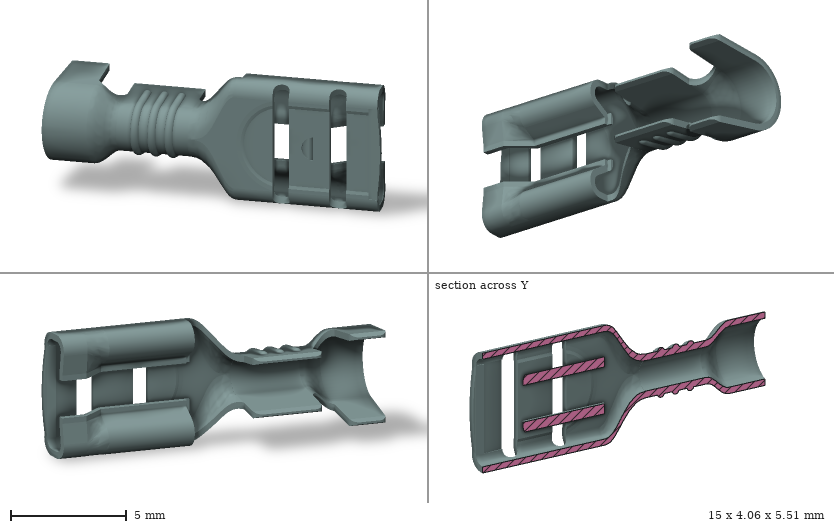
import cadquery as cq
import math


SHEET = 0.30
WING_LEAN = 7.5
END_LEAN = 5.0

INSULATION_END_X = 2.0
WIRE_START_X = 3.17
WIRE_END_X = 6.37
BOX_START_X = 8.44
CURL_START_X = 8.64
OVERALL_LENGTH = 14.99

INSULATION_RADIUS = 1.775
INSULATION_BASE_Y = -0.54
INSULATION_TOP_Y = 3.52

WIRE_RADIUS = 1.08
WIRE_TOP_Y = 3.27
WING_CORNER = 0.40
TIP_LENGTH = 0.29
TIP_OUTER_BEVEL = 0.15
TIP_INNER_BEVEL = 0.06

BEAD_FIRST_X = 3.99
BEAD_PITCH = 0.767
BEAD_COUNT = 3
BEAD_RADIUS = 0.195
BEAD_HEIGHT = 0.13
BEAD_TOP_Y = 2.31

BOX_HALF_WIDTH = 2.755
BOX_CORNER = 0.70
FLOOR_HALF_WIDTH = BOX_HALF_WIDTH - BOX_CORNER
BOX_SIDE_Y = 0.74
CURL_CENTRE_Y = 1.22
CURL_RADIUS = 0.68
CURL_TILT = 60.0
MOUTH_TILT = 8.0
MOUTH_BLEND_X = 12.60
MOUTH_X = 13.60
LIP_BEND_RADIUS = 0.38
LIP_FLAT = 0.24
LIP_HALF_GAP = 0.83
BOX_END_X = 14.87
TONGUE_CORNER_X = 14.84

SLOTS = ((10.54, 0.73), (13.09, 0.76))
SLOT_FLOOR_TOP = 0.39
SLOT_FLOOR_HALF = 2.20
SLOT_WRAP = 65.0
SLOT_END_REACH = 1.0
PANEL_CENTRE_X = 10.63
PANEL_END_X = 14.47
PANEL_RIM = 1.88
PANEL_INNER = 1.74
PANEL_BLEND = 2.07
PANEL_DEPTH = 0.05
PANEL_BLEND_DEPTH = 0.012
MOUTH_FLOOR_Y = 0.20
MARK_FLAT_X = 11.99
MARK_RAMP_X = 11.83
MARK_RADIUS = 0.52
MARK_DEPTH = 0.08
MARK_STEP = 0.16

NECK_STEPS = 6
KEEL = 0.02
REAR_NECK_EDGE = ((INSULATION_END_X, 1.47), (2.29, 1.27), (WIRE_START_X, 1.87))
FRONT_NECK_EDGE = ((WIRE_END_X, 1.92), (6.87, 1.50), (7.42, 1.20), (8.0, 0.80), (BOX_START_X, BOX_SIDE_Y))

BIG = 10.0


def mix(start, end, share):
    return start + (end - start) * share


def polar(centre, radius, degrees):
    angle = math.radians(degrees)
    return (centre[0] + radius * math.cos(angle), centre[1] + radius * math.sin(angle))


def section_plane(x):
    """Plane across the terminal with local coordinates (-Z, Y)."""
    return cq.Workplane(cq.Plane(origin=(x, 0, 0), xDir=(0, 0, -1), normal=(1, 0, 0)))


def side_plane():
    """XY plane, for tools that run the full width of the terminal."""
    return cq.Workplane("XY")


def mirrored(point):
    return (-point[0], point[1])


def trough_side(radius, base_y, flat, lean, top_y):
    """Right half of one trough surface: flat end, arc middle, tangent point, wing top."""
    centre = (flat, base_y + radius)
    tangent = polar(centre, radius, -lean)
    middle = polar(centre, radius, -(90 + lean) / 2)
    top = (tangent[0] + (top_y - tangent[1]) * math.tan(math.radians(lean)), top_y)
    return (flat, base_y), middle, tangent, top


def trough(x, radius, base_y, top_y, lean, flat=0.0, tapered=False):
    """Closed U-shaped sheet section at x, with optional tapered wing tips."""
    shoulder_y = top_y - TIP_LENGTH if tapered else top_y
    outer = trough_side(radius, base_y, flat, lean, shoulder_y)
    inner = trough_side(radius - SHEET, base_y + SHEET, flat, lean, shoulder_y)
    tips = []
    if tapered:
        shift = TIP_LENGTH * math.tan(math.radians(lean))
        tips = [
            (outer[3][0] + shift - TIP_OUTER_BEVEL, top_y),
            (inner[3][0] + shift + TIP_INNER_BEVEL, top_y),
        ]
    sketch = section_plane(x).moveTo(*mirrored(outer[3])).lineTo(*mirrored(outer[2]))
    if flat > 0:
        sketch = sketch.threePointArc(mirrored(outer[1]), mirrored(outer[0])).lineTo(*outer[0])
        sketch = sketch.threePointArc(outer[1], outer[2])
    else:
        sketch = sketch.threePointArc(outer[0], outer[2])
    sketch = sketch.lineTo(*outer[3])
    for tip in tips:
        sketch = sketch.lineTo(*tip)
    sketch = sketch.lineTo(*inner[3]).lineTo(*inner[2])
    if flat > 0:
        sketch = sketch.threePointArc(inner[1], inner[0]).lineTo(*mirrored(inner[0]))
        sketch = sketch.threePointArc(mirrored(inner[1]), mirrored(inner[2]))
    else:
        sketch = sketch.threePointArc(inner[0], mirrored(inner[2]))
    sketch = sketch.lineTo(*mirrored(inner[3]))
    for tip in reversed(tips):
        sketch = sketch.lineTo(*mirrored(tip))
    return sketch.close()


def side_prism(points):
    return side_plane().polyline(points).close().extrude(BIG, both=True)


def insulation_barrel():
    barrel = trough(
        0, INSULATION_RADIUS, INSULATION_BASE_Y, INSULATION_TOP_Y, WING_LEAN, tapered=True
    ).extrude(INSULATION_END_X)
    rise = INSULATION_TOP_Y - INSULATION_BASE_Y
    outline = side_prism([
        (0, INSULATION_BASE_Y),
        (INSULATION_END_X, INSULATION_BASE_Y),
        (INSULATION_END_X, INSULATION_TOP_Y),
        (rise * math.tan(math.radians(END_LEAN)), INSULATION_TOP_Y),
    ])
    top_corners = outline.faces(">Y").edges("|Z")
    return barrel.intersect(top_corners.fillet(WING_CORNER))


def wire_barrel():
    length = WIRE_END_X - WIRE_START_X
    barrel = trough(WIRE_START_X, WIRE_RADIUS, 0, WIRE_TOP_Y, WING_LEAN, tapered=True).extrude(length)
    outline = side_prism([
        (WIRE_START_X, 0),
        (WIRE_END_X, 0),
        (WIRE_END_X, WIRE_TOP_Y),
        (WIRE_START_X, WIRE_TOP_Y),
    ])
    top_corners = outline.faces(">Y").edges("|Z")
    return barrel.intersect(top_corners.fillet(WING_CORNER))


def bead(x):
    """Round bead following the outside of the wire barrel, with domed ends."""
    sink = BEAD_RADIUS - BEAD_HEIGHT
    bottom, _, tangent, top = trough_side(WIRE_RADIUS - sink, sink, 0, WING_LEAN, BEAD_TOP_Y - BEAD_RADIUS)
    path = (
        section_plane(x)
        .moveTo(*mirrored(top))
        .lineTo(*mirrored(tangent))
        .threePointArc(bottom, tangent)
        .lineTo(*top)
    )
    lean = math.radians(WING_LEAN)
    start = cq.Plane(
        origin=(x, top[1], top[0]), xDir=(1, 0, 0), normal=(0, -math.cos(lean), -math.sin(lean))
    )
    rod = cq.Workplane(start).circle(BEAD_RADIUS).sweep(path)
    for side in (-1, 1):
        rod = rod.union(cq.Workplane("XY").sphere(BEAD_RADIUS).translate((x, top[1], side * top[0])))
    return rod


def neck(start_x, end_x, start, end, edge):
    """Smooth S-shaped transition between two troughs given as (half-width, base, lean, flat).

    The flat widens later than the whole trough, which keeps the middle well rounded.
    """
    top_y = max(point[1] for point in edge)
    wires = []
    for step in range(NECK_STEPS + 1):
        share = step / NECK_STEPS
        blend = (1 - math.cos(math.pi * share)) / 2
        half_width, base_y, lean = (mix(a, b, blend) for a, b in zip(start[:3], end[:3]))
        flat = mix(start[3], end[3], blend * blend)
        x = mix(start_x, end_x, share)
        wires.append(trough(x, half_width - flat, base_y, top_y, lean, flat).wires().val())
    body = cq.Workplane(cq.Solid.makeLoft(wires))
    above = (
        side_plane()
        .moveTo(*edge[0])
        .spline(edge[1:], includeCurrent=True)
        .lineTo(end_x + BIG, edge[-1][1])
        .lineTo(end_x + BIG, BIG)
        .lineTo(start_x - BIG, BIG)
        .lineTo(start_x - BIG, edge[0][1])
        .close()
        .extrude(BIG, both=True)
    )
    return body.cut(above)


def box_section(x, tilt):
    """Half section of the box at x: floor, rounded corner, wall, and curl with its lip."""
    corner = (FLOOR_HALF_WIDTH, BOX_CORNER)
    curl = (BOX_HALF_WIDTH - CURL_RADIUS, CURL_CENTRE_Y)
    inner_corner = BOX_CORNER - SHEET
    inner_curl = CURL_RADIUS - SHEET
    inner_bend = LIP_BEND_RADIUS - SHEET
    curl_end = 90 + tilt
    curl_middle = curl_end / 2
    slope = math.radians(tilt)
    slope_span = curl[0] - LIP_HALF_GAP - LIP_FLAT - (inner_curl + LIP_BEND_RADIUS) * math.sin(slope)
    slope_end = polar(polar(curl, inner_curl, curl_end), slope_span / math.cos(slope), curl_end + 90)
    bend = polar(slope_end, LIP_BEND_RADIUS, curl_end)
    bend_start = curl_end - 180
    bend_middle = (bend_start - 90) / 2
    lip_y = bend[1] - LIP_BEND_RADIUS
    return (
        section_plane(x)
        .moveTo(0, 0)
        .lineTo(FLOOR_HALF_WIDTH, 0)
        .threePointArc(polar(corner, BOX_CORNER, -45), (BOX_HALF_WIDTH, BOX_CORNER))
        .lineTo(BOX_HALF_WIDTH, CURL_CENTRE_Y)
        .threePointArc(polar(curl, CURL_RADIUS, curl_middle), polar(curl, CURL_RADIUS, curl_end))
        .lineTo(*polar(bend, inner_bend, bend_start))
        .threePointArc(polar(bend, inner_bend, bend_middle), polar(bend, inner_bend, -90))
        .lineTo(LIP_HALF_GAP, lip_y + SHEET)
        .lineTo(LIP_HALF_GAP, lip_y)
        .lineTo(bend[0], lip_y)
        .threePointArc(polar(bend, LIP_BEND_RADIUS, bend_middle), slope_end)
        .lineTo(*polar(curl, inner_curl, curl_end))
        .threePointArc(polar(curl, inner_curl, curl_middle), polar(curl, inner_curl, 0))
        .lineTo(BOX_HALF_WIDTH - SHEET, BOX_CORNER)
        .threePointArc(polar(corner, inner_corner, -45), polar(corner, inner_corner, -90))
        .lineTo(0, SHEET)
        .close()
    )


def box_half():
    """One half of the box; its lip grips along most of the length and opens out at the mouth."""
    gripping = box_section(BOX_START_X, CURL_TILT).extrude(MOUTH_BLEND_X - BOX_START_X)
    blend_wires = [
        box_section(MOUTH_BLEND_X, CURL_TILT).wires().val(),
        box_section(MOUTH_X, MOUTH_TILT).wires().val(),
    ]
    blend = cq.Workplane(cq.Solid.makeLoft(blend_wires, True))
    mouth = box_section(MOUTH_X, MOUTH_TILT).extrude(OVERALL_LENGTH - MOUTH_X)
    return gripping.union(blend).union(mouth)


def floor_tongue():
    """Floor strip whose mating end bulges out in a shallow arc."""
    back_x = PANEL_END_X - PANEL_RIM
    return (
        cq.Workplane("XZ")
        .moveTo(back_x, -FLOOR_HALF_WIDTH)
        .lineTo(TONGUE_CORNER_X, -FLOOR_HALF_WIDTH)
        .threePointArc((OVERALL_LENGTH, 0), (TONGUE_CORNER_X, FLOOR_HALF_WIDTH))
        .lineTo(back_x, FLOOR_HALF_WIDTH)
        .close()
        .extrude(-SHEET)
    )


def panel_form(level):
    """Shallow embossed panel at height level: round rear end, straight sides, ramp to the tip."""
    deep = level + PANEL_DEPTH
    round_end = (
        side_plane()
        .polyline([
            (0, level),
            (PANEL_BLEND, level),
            (PANEL_RIM, level + PANEL_BLEND_DEPTH),
            (PANEL_INNER, deep),
            (0, deep),
        ])
        .close()
        .revolve(360, (0, 0, 0), (0, 1, 0))
        .translate((PANEL_CENTRE_X, 0, 0))
    )
    ahead = cq.Workplane("XY").box(BIG, BIG, BIG).translate((PANEL_CENTRE_X + BIG / 2, 0, 0))
    straight = (
        section_plane(PANEL_CENTRE_X)
        .polyline([(-PANEL_RIM, level), (PANEL_RIM, level), (PANEL_INNER, deep), (-PANEL_INNER, deep)])
        .close()
        .extrude(PANEL_END_X - PANEL_CENTRE_X)
    )
    ramp = (
        side_plane()
        .polyline([(PANEL_END_X, level), (OVERALL_LENGTH, level), (PANEL_END_X, deep)])
        .close()
        .extrude(FLOOR_HALF_WIDTH, both=True)
    )
    return round_end.cut(ahead).union(straight).union(ramp)


def mouth_thinning():
    """Wedge that thins the inside of the floor between the front slot and the panel's end."""
    slot_x = SLOTS[-1][0]
    return (
        side_plane()
        .polyline([
            (slot_x, MOUTH_FLOOR_Y),
            (PANEL_END_X, SHEET),
            (PANEL_END_X, SHEET + PANEL_DEPTH),
            (slot_x, SHEET + PANEL_DEPTH),
        ])
        .close()
        .extrude(FLOOR_HALF_WIDTH, both=True)
    )


def slot_end(centre_x, width):
    """Round-ended tool pointing out through the corner on the +Z side."""
    wrap = math.radians(SLOT_WRAP)
    outwards = (0, -math.cos(wrap), math.sin(wrap))
    plane = cq.Plane(
        origin=(centre_x, BOX_CORNER, FLOOR_HALF_WIDTH), xDir=(1, 0, 0), normal=outwards
    )
    half = width / 2
    return (
        cq.Workplane(plane)
        .moveTo(-half, -half)
        .threePointArc((0, 0), (half, -half))
        .lineTo(half, -SLOT_END_REACH)
        .lineTo(-half, -SLOT_END_REACH)
        .close()
        .extrude(SLOT_END_REACH)
    )


def slot(centre_x, width):
    """Cross slot through the floor with rounded ends climbing both corners."""
    floor_part = (
        cq.Workplane("XY")
        .box(width, 2 * SLOT_FLOOR_TOP, 2 * SLOT_FLOOR_HALF)
        .translate((centre_x, 0, 0))
    )
    end_part = slot_end(centre_x, width)
    return floor_part.union(end_part).union(end_part.mirror("XY"))


def locking_mark():
    """D-shaped recess whose floor rises from the round side, then drops to the flat side."""
    disc = (
        cq.Workplane("XZ")
        .center(MARK_FLAT_X, 0)
        .circle(MARK_RADIUS)
        .extrude(-SHEET)
    )
    ramp = side_prism([
        (MARK_FLAT_X - MARK_RADIUS, 0),
        (MARK_FLAT_X, 0),
        (MARK_FLAT_X, PANEL_DEPTH + MARK_STEP),
        (MARK_RAMP_X, PANEL_DEPTH),
        (MARK_FLAT_X - MARK_RADIUS, PANEL_DEPTH + MARK_DEPTH),
    ])
    return disc.intersect(ramp)


def receptacle():
    half = box_half()
    box = half.union(half.mirror("XY"))
    box = box.cut(side_prism([
        (BOX_START_X, BOX_SIDE_Y),
        (CURL_START_X, BOX_SIDE_Y),
        (CURL_START_X, BIG),
        (BOX_START_X, BIG),
    ]))
    box = box.cut(side_prism([
        (BOX_END_X, 0),
        (BOX_END_X + BIG, 0),
        (BOX_END_X + BIG, BIG),
        (BOX_END_X - BIG * math.tan(math.radians(END_LEAN)), BIG),
    ]))
    box = box.union(floor_tongue())
    box = box.union(panel_form(SHEET).intersect(side_prism([
        (BOX_START_X, 0),
        (BOX_END_X, 0),
        (BOX_END_X, BIG),
        (BOX_START_X, BIG),
    ])))
    box = box.cut(panel_form(0)).cut(locking_mark()).cut(mouth_thinning())
    for centre_x, width in SLOTS:
        box = box.cut(slot(centre_x, width))
    return box


INSULATION_TROUGH = (INSULATION_RADIUS, INSULATION_BASE_Y, WING_LEAN, 0)
WIRE_TROUGH = (WIRE_RADIUS, 0, WING_LEAN, 0)
KEELED_WIRE_TROUGH = (WIRE_RADIUS, 0, WING_LEAN, KEEL)
BOX_TROUGH = (BOX_HALF_WIDTH, 0, 0, FLOOR_HALF_WIDTH)

result = insulation_barrel()
result = result.union(
    neck(INSULATION_END_X, WIRE_START_X, INSULATION_TROUGH, WIRE_TROUGH, REAR_NECK_EDGE)
)
result = result.union(wire_barrel())
result = result.union(
    neck(WIRE_END_X, BOX_START_X, KEELED_WIRE_TROUGH, BOX_TROUGH, FRONT_NECK_EDGE)
)
result = result.union(receptacle())
for number in range(BEAD_COUNT):
    result = result.union(bead(BEAD_FIRST_X + number * BEAD_PITCH))